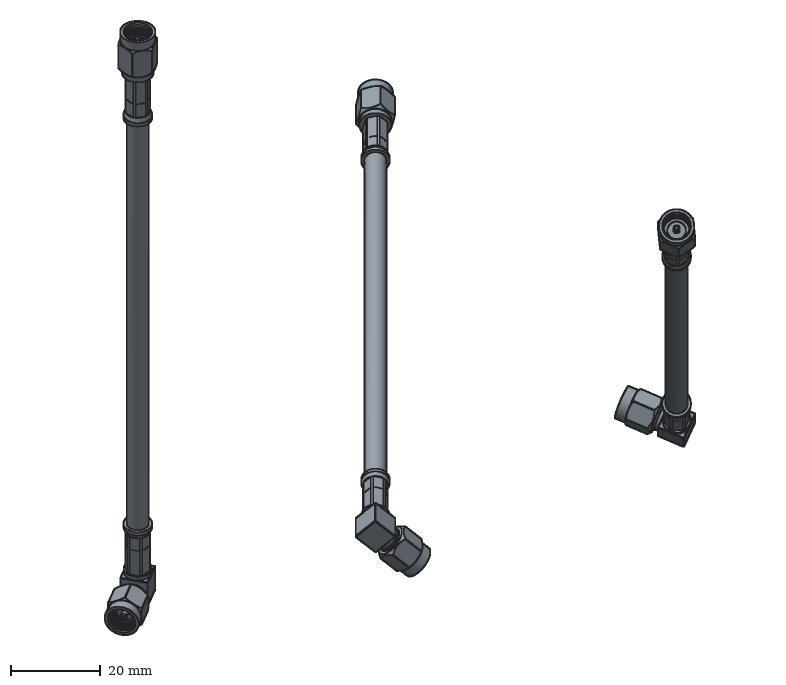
import cadquery as cq
import math


nut_flats = 7.9
nut_corner_radius = 4.5
nut_rear_radius = 3.7
sleeve_diameter = 7.9
sleeve_length = 2.4
front_chamfer_radius = 3.9
front_chamfer_angle = 30
mouth_diameter = 5.8
mouth_chamfer = 0.3
mouth_depth = 3.9
groove_diameter = 6.5
groove_width = 0.3
groove_pitch = 0.6
groove_count = 4
first_groove_depth = 1.0
insulator_diameter = 4.2
insulator_height = 0.5
pin_diameter = 1.5
pin_height = 2.4
pin_chamfer = 0.3

overall_length = 160.6
overall_depth = 17.8
straight_front = overall_length - nut_corner_radius
elbow_front = overall_depth - nut_corner_radius

straight_nut_length = 10.1
straight_ring_diameter = 7.0
straight_ring_length = 1.5

elbow_nut_length = 8.7
elbow_ring_diameter = 5.8
elbow_ring_length = 0.5
block_width = 6.5
block_bottom = -2.9
block_top = 3.9
block_chamfer = 0.2
seat_diameter = 6.3
seat_height = 1.0
neck_diameter = 5.5

ferrule_flats = 5.1
ferrule_corner_diameter = 5.6
hex_length = 10.6
cone_length = 1.1
collar_length = 1.0
collar_diameter = 6.5
ferrule_length = hex_length + cone_length + collar_length

cable_diameter = 5.0
cable_insertion = 5.8


def hexagon(flats, length, turn):
    """Hexagonal bar standing on the XY plane, turned about Z; 0 puts corners on X."""
    corner_diameter = 2 * flats / math.sqrt(3)
    bar = cq.Workplane("XY").polygon(6, corner_diameter).extrude(length)
    return bar.rotate((0, 0, 0), (0, 0, 1), turn)


def cylinder(diameter, bottom, length):
    """Round bar on the Z axis, rising from the given bottom height."""
    return cq.Workplane("XY").workplane(offset=bottom).circle(diameter / 2).extrude(length)


def coupling_nut(length, ring_diameter, ring_length):
    """Nut facing +Z with its rear ring on Z = 0 and two corners on Y."""
    hex_end = length - sleeve_length
    front_drop = (nut_corner_radius - front_chamfer_radius) * math.tan(math.radians(front_chamfer_angle))
    rear_rise = nut_corner_radius - nut_rear_radius
    turned_blank = (
        cq.Workplane("XZ")
        .moveTo(0, 0)
        .lineTo(nut_rear_radius, 0)
        .lineTo(nut_corner_radius, rear_rise)
        .lineTo(nut_corner_radius, hex_end - front_drop)
        .lineTo(front_chamfer_radius, hex_end)
        .lineTo(0, hex_end)
        .close()
        .revolve(360, (0, 0), (0, 1))
    )
    nut = hexagon(nut_flats, hex_end, 30).intersect(turned_blank)
    nut = nut.union(cylinder(sleeve_diameter, hex_end, sleeve_length))
    nut = nut.union(cylinder(ring_diameter, -ring_length, ring_length))

    floor = length - mouth_depth
    mouth = cylinder(mouth_diameter, floor, mouth_depth)
    for index in range(groove_count):
        groove_top = length - first_groove_depth - index * groove_pitch
        mouth = mouth.union(cylinder(groove_diameter, groove_top - groove_width, groove_width))
    rim_cone = (
        cq.Workplane("XY")
        .workplane(offset=length - mouth_chamfer)
        .circle(mouth_diameter / 2)
        .workplane(offset=mouth_chamfer)
        .circle(mouth_diameter / 2 + mouth_chamfer)
        .loft()
    )

    insulator = cylinder(insulator_diameter, floor, insulator_height)
    pin = cylinder(pin_diameter, floor, pin_height).faces(">Z").chamfer(pin_chamfer)
    nut = nut.cut(mouth).cut(rim_cone).union(insulator).union(pin)
    return nut.translate((0, 0, ring_length))


def crimp_ferrule(turn):
    """Ferrule with its hexagonal end at Z = 0 and its cable collar on top."""
    cone_top = hex_length + cone_length
    flare = (
        cq.Workplane("XZ")
        .moveTo(0, hex_length)
        .lineTo(ferrule_corner_diameter / 2, hex_length)
        .lineTo(collar_diameter / 2, cone_top)
        .lineTo(collar_diameter / 2, ferrule_length)
        .lineTo(0, ferrule_length)
        .close()
        .revolve(360, (0, 0), (0, 1))
    )
    corner_round = cylinder(ferrule_corner_diameter, 0, hex_length)
    ferrule = hexagon(ferrule_flats, hex_length, turn).intersect(corner_round).union(flare)
    return ferrule.cut(cylinder(cable_diameter, ferrule_length - cable_insertion, cable_insertion))


straight_rear = straight_front - straight_nut_length - straight_ring_length
straight_nut = (
    coupling_nut(straight_nut_length, straight_ring_diameter, straight_ring_length)
    .translate((0, 0, straight_rear))
)
straight_ferrule = (
    crimp_ferrule(30)
    .rotate((0, 0, 0), (1, 0, 0), 180)
    .translate((0, 0, straight_rear))
)

elbow_nut_rear = elbow_front - elbow_nut_length - elbow_ring_length
elbow_nut = (
    coupling_nut(elbow_nut_length, elbow_ring_diameter, elbow_ring_length)
    .rotate((0, 0, 0), (1, 0, 0), 90)
    .translate((0, -elbow_nut_rear, 0))
)
elbow_block = (
    cq.Workplane("XY")
    .workplane(offset=block_bottom)
    .rect(block_width, block_width)
    .extrude(block_top - block_bottom)
    .edges()
    .chamfer(block_chamfer)
    .union(cylinder(seat_diameter, block_top, seat_height))
    .union(cq.Workplane("XZ").circle(neck_diameter / 2).extrude(elbow_nut_rear))
)
elbow_ferrule_bottom = block_top + seat_height
elbow_ferrule = crimp_ferrule(0).translate((0, 0, elbow_ferrule_bottom))

cable_bottom = elbow_ferrule_bottom + ferrule_length - cable_insertion
cable_top = straight_rear - ferrule_length + cable_insertion
cable = cylinder(cable_diameter, cable_bottom, cable_top - cable_bottom)

result = cq.Compound.makeCompound([
    cable.val(),
    straight_ferrule.val(),
    straight_nut.val(),
    elbow_ferrule.val(),
    elbow_block.val(),
    elbow_nut.val(),
])